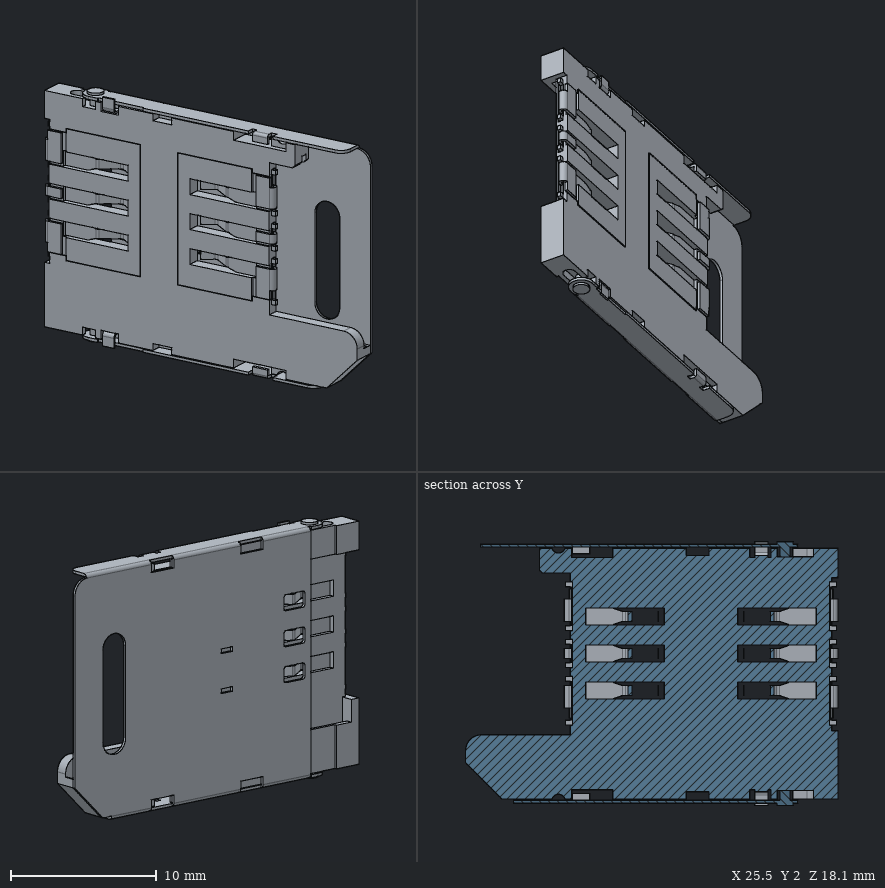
import cadquery as cq
import math


length = 25.52
thickness = 2.0
total_width = 18.1
half_width = 8.6
front = 0.12
sheet = 0.22
plate_front = thickness - sheet
flange_outer = 8.88
flange_inner = flange_outer - sheet
corner_radius = 1.1
corner_chamfer = 2.5

floor_back = 0.99
bay_bottom, bay_top = -3.9, 6.56
card_half = 7.5
rail_front, rail_bottom = 1.51, -5.5
card_start, card_end = 0.7, 25.4
card_chamfer = 1.6
floor_left, floor_right = 0.42, 18.35
mid_x = (floor_left + floor_right) / 2
arm_top = -4.18
stub_bottom = 6.88
stub_end = 20.46
stub_chamfer = 0.22

stop_length = 2.01
stop_back = 1.95

contact_pitch = 2.54
contact_mid_z = 1.38
slot_width = 1.15
slot_start, slot_end = 1.5, 6.86
panel_front = 0.05
panel_start, panel_end = 1.81, 7.85
panel_half = 4.8
recess_half = 4.48
recess_floor = 0.2
metal = 0.2
beam_back = 0.65
bend_radius = beam_back / 2
pad_end = 1.44
pad_width = 2.24
tail_width = 1.56
finger_width = 0.7
taper_start, taper_end = 3.35, 4.0
ramp_start, apex_x, tip_x = 4.12, 5.53, 6.46
apex_front = 1.43
tip_angle = math.radians(34)
knee_radius, apex_radius = 0.33, 0.22
tab_size, tab_start = 0.34, 0.1
tab_front, tab_back = 0.42, 0.68
tab_distances = (0.8, 1.74, 4.73)
groove_depth, groove_back = 0.15, 0.83
strip_depth = 0.08

hinge_x, hinge_y = 3.63, 0.97
hinge_radius = 0.89
cap_radius, pin_radius = 0.585, 0.39
track_radius, track_start = 0.46, 2.12
pin_opening = 1.04
pin_end = 8.02
hinge_neck_end = 4.2
plate_start = 4.37
flange_front = 0.08
relief_front, relief_end = 0.2, 8.05
flange_top_end, flange_bottom_end = 24.5, 22.24
flange_end_radius = 0.75

pocket_z = 7.96
foot_x0, foot_x1 = 4.78, 5.72
foot_pocket_x0, foot_pocket_x1 = 4.6, 6.03
foot_front, foot_back = 0.05, 0.19
foot_bend = 0.35
foot_pocket_back = 0.9
small_pocket_x0, small_pocket_x1, small_pocket_z = 8.85, 10.38, 8.1
latch_pocket_x0, latch_pocket_x1 = 15.44, 19.7
latch_pocket_back = 1.6
latch_hole_x1 = 18.23
ledge_y = 0.55
scallop_x, scallop_z, scallop_radius = 19.15, 8.73, 0.46
notch_width = 2.0
notch_starts = (8.66, 16.66)
notch_z = 8.03
latch_window_back = 0.6
hook_x0, hook_x1, hook_z = 17.0, 18.22, 8.2

pull_slot_x, pull_slot_width, pull_slot_length = 22.0, 2.02, 8.54
window_x0, window_x1, window_radius = 4.9, 6.78, 0.2
vent_x0, vent_x1, vent_width = 11.4, 12.4, 0.33
vent_zs = (1.44, -1.385)


def box(x0, x1, y0, y1, z0, z1):
    return cq.Workplane("XY").box(x1 - x0, y1 - y0, z1 - z0, centered=False).translate((x0, y0, z0))


def edge_box(x0, x1, y0, y1, z0, z1, side):
    """Box between two distances from the mid plane, on the +Z or -Z side."""
    return box(x0, x1, y0, y1, z0, z1) if side > 0 else box(x0, x1, y0, y1, -z1, -z0)


def xz_prism(sketch, y0, y1):
    """Extrude an outline drawn in XZ from y0 to y1."""
    return sketch.extrude(-(y1 - y0)).translate((0, y0, 0))


def on_side(shape, side):
    return shape if side > 0 else shape.mirror("XY")


def both_rows(shape):
    """Copy a feature of the left contact row to the right one."""
    return shape.union(shape.mirror("YZ", (mid_x, 0, 0)))


def z_disc(x, y, radius, z0, z1):
    return cq.Workplane("XY", origin=(0, 0, z0)).center(x, y).circle(radius).extrude(z1 - z0)


row_zs = [contact_mid_z + i * contact_pitch for i in (-1, 0, 1)]


def housing_block():
    outline = (
        cq.Workplane("XZ")
        .moveTo(0, -half_width)
        .lineTo(length - corner_chamfer, -half_width)
        .lineTo(length, -half_width + corner_chamfer)
        .lineTo(length, arm_top - corner_radius)
        .radiusArc((length - corner_radius, arm_top), -corner_radius)
        .lineTo(floor_right, arm_top)
        .lineTo(floor_right, stub_bottom)
        .lineTo(stub_end - stub_chamfer, stub_bottom)
        .lineTo(stub_end, stub_bottom + stub_chamfer)
        .lineTo(stub_end, half_width)
        .lineTo(0, half_width)
        .close()
    )
    block = xz_prism(outline, front, plate_front)
    block = block.union(box(0, stop_length, front, stop_back, -half_width, half_width))
    block = block.cut(box(0, floor_left, 0, thickness, bay_bottom, bay_top))
    block = block.cut(box(0, card_start, floor_back, thickness, bay_bottom, bay_top))
    block = block.cut(box(card_start, length, floor_back, thickness, rail_bottom, bay_top))
    return block.cut(card_bay())


def card_bay():
    """Card space between floor and rails, with one corner cut parallel to the corner of the housing."""
    low, high = -card_half, card_half
    outline = (
        cq.Workplane("XZ")
        .moveTo(card_start, low)
        .lineTo(card_end - card_chamfer, low)
        .lineTo(card_end, low + card_chamfer)
        .lineTo(card_end, arm_top)
        .lineTo(length, arm_top)
        .lineTo(length, high)
        .lineTo(card_start, high)
        .close()
    )
    return xz_prism(outline, floor_back, rail_front)


def contact_panel():
    """Raised panel whose bars reach the floor edge between the contacts."""
    z0, z1 = contact_mid_z - panel_half, contact_mid_z + panel_half
    panel = box(panel_start, panel_end, panel_front, floor_back, z0, z1)
    bars = box(floor_left, panel_start, panel_front, floor_back, row_zs[0], row_zs[-1])
    return panel.union(bars)


def contact_recesses():
    """Shallow seats for the solder pads, and the through slots for the spring fingers."""
    cuts = cq.Workplane("XY")
    for z in row_zs:
        low, high = z - slot_width / 2, z + slot_width / 2
        cuts = cuts.union(box(slot_start, slot_end, 0, floor_back, low, high))
        cuts = cuts.union(box(floor_left, slot_start, 0, recess_floor, low, high))
    top_seat = (row_zs[2] - slot_width / 2, contact_mid_z + recess_half)
    bottom_seat = (contact_mid_z - recess_half, row_zs[0] + slot_width / 2)
    for low, high in (top_seat, bottom_seat):
        cuts = cuts.union(box(floor_left, panel_start, 0, recess_floor, low, high))
    return cuts


def beam_and_tail(width):
    """Pad, half-round bend and hidden beam as one strip folded back on itself."""
    inner_radius = bend_radius - metal
    return (
        cq.Workplane("XY")
        .moveTo(pad_end, 0)
        .lineTo(bend_radius, 0)
        .threePointArc((0, bend_radius), (bend_radius, beam_back))
        .lineTo(slot_start, beam_back)
        .lineTo(slot_start, beam_back - metal)
        .lineTo(bend_radius, beam_back - metal)
        .threePointArc((bend_radius - inner_radius, bend_radius), (bend_radius, metal))
        .lineTo(pad_end, metal)
        .close()
        .extrude(width)
    )


def round_bends(shape, x, radius):
    """Round both edges of a bend of the finger at the given X."""
    reach = metal / 2
    around = cq.selectors.BoxSelector((x - reach, 0, -slot_width), (x + reach, thickness, slot_width))
    return shape.edges("|Z").edges(around).fillet(radius)


def spring_finger():
    """Tapered beam that rises to a contact apex and falls to its tip, centred on Z = 0."""
    beam_front = beam_back - metal
    tip_front = apex_front - (tip_x - apex_x) * math.tan(tip_angle)
    profile = (
        cq.Workplane("XY")
        .moveTo(slot_start, beam_back)
        .lineTo(ramp_start, beam_back)
        .lineTo(apex_x, apex_front + metal)
        .lineTo(tip_x + metal * math.sin(tip_angle), tip_front + metal * math.cos(tip_angle))
        .lineTo(tip_x, tip_front)
        .lineTo(apex_x, apex_front)
        .lineTo(ramp_start, beam_front)
        .lineTo(slot_start, beam_front)
        .close()
        .extrude(slot_width / 2, both=True)
    )
    profile = round_bends(profile, ramp_start, knee_radius)
    profile = round_bends(profile, apex_x, apex_radius)
    wide, narrow = slot_width / 2, finger_width / 2
    outline = (
        cq.Workplane("XZ")
        .polyline([(slot_start, wide), (taper_start, wide), (taper_end, narrow), (slot_end, narrow),
                   (slot_end, -narrow), (taper_end, -narrow), (taper_start, -wide), (slot_start, -wide)])
        .close()
    )
    return profile.intersect(xz_prism(outline, 0, thickness))


def contact(z, direction):
    """One contact; the outer ones have tails and pads widened away from the middle (direction)."""
    narrow = finger_width / 2
    strip = beam_and_tail(finger_width).translate((0, 0, -narrow))
    if direction:
        tail = beam_and_tail(tail_width).translate((0, 0, -narrow))
        pad = box(bend_radius, pad_end, 0, metal, -narrow, pad_width - narrow)
        strip = strip.union(on_side(tail.union(pad), direction))
    return strip.union(spring_finger()).translate((0, 0, z))


def tab_spans():
    """Z ranges from tab to tab of each contact."""
    inner, near, far = tab_distances
    end = tab_size / 2
    pairs = ((-inner, inner), (near, far), (-far, -near))
    return [(contact_mid_z + low - end, contact_mid_z + high + end) for low, high in pairs]


def edge_grooves():
    """Grooves in the floor edge behind the contact bends."""
    grooves = cq.Workplane("XY")
    for z0, z1 in tab_spans():
        grooves = grooves.union(box(0, floor_left + groove_depth, tab_front, groove_back, z0, z1))
    return grooves


def edge_tabs():
    """Strip lying in each groove, with a tab standing out at both its ends."""
    tabs = cq.Workplane("XY")
    groove_floor = floor_left + groove_depth
    for z0, z1 in tab_spans():
        tabs = tabs.union(box(floor_left + strip_depth, groove_floor, tab_front, tab_back, z0, z1))
        tabs = tabs.union(box(tab_start, groove_floor, tab_front, tab_back, z0, z0 + tab_size))
        tabs = tabs.union(box(tab_start, groove_floor, tab_front, tab_back, z1 - tab_size, z1))
    return tabs


def edge_pockets(side):
    """Hinge track, foot pocket, small pocket and latch opening along one long edge."""
    edge = half_width
    cuts = z_disc(track_start, hinge_y, track_radius, pin_end, edge)
    cuts = cuts.union(z_disc(hinge_x, hinge_y, track_radius, pin_end, edge))
    cuts = cuts.union(box(track_start, hinge_x, hinge_y - track_radius, hinge_y + track_radius,
                          pin_end, edge))
    cuts = cuts.union(box(hinge_x - pin_opening / 2, hinge_x + pin_opening / 2, 0, hinge_y, pin_end, edge))
    cuts = cuts.union(box(foot_pocket_x0, foot_pocket_x1, 0, foot_pocket_back, pocket_z, edge))
    cuts = cuts.union(box(small_pocket_x0, small_pocket_x1, 0, foot_pocket_back, small_pocket_z, edge))
    cuts = cuts.union(box(latch_pocket_x0, latch_hole_x1, 0, latch_pocket_back, pocket_z, edge))
    cuts = cuts.union(box(latch_hole_x1, latch_pocket_x1, 0, ledge_y, pocket_z, edge))
    scallop = cq.Workplane("XZ").center(scallop_x, scallop_z).circle(scallop_radius)
    cuts = cuts.union(xz_prism(scallop, 0, latch_pocket_back))
    cuts = cuts.union(box(notch_starts[1], latch_hole_x1, 0, thickness, notch_z, edge))
    return on_side(cuts, side)


def solder_foot(side):
    """Bent foot that comes out of its pocket and reaches past the cover flange."""
    strip = foot_back - foot_front
    leg_z = pocket_z
    foot = (
        cq.Workplane("YZ", origin=(foot_x0, 0, 0))
        .moveTo(foot_pocket_back, leg_z)
        .lineTo(foot_front + foot_bend, leg_z)
        .radiusArc((foot_front, leg_z + foot_bend), foot_bend)
        .lineTo(foot_front, total_width / 2)
        .lineTo(foot_back, total_width / 2)
        .lineTo(foot_back, leg_z + foot_bend)
        .radiusArc((foot_front + foot_bend, leg_z + strip), -(foot_bend - strip))
        .lineTo(foot_pocket_back, leg_z + strip)
        .close()
        .extrude(foot_x1 - foot_x0)
    )
    return on_side(foot, side)


def make_housing():
    body = housing_block()
    body = body.union(both_rows(contact_panel()))
    body = body.cut(both_rows(contact_recesses()))
    body = body.cut(both_rows(edge_grooves()))
    for z, direction in zip(row_zs, (-1, 0, 1)):
        body = body.union(both_rows(contact(z, direction)))
    body = body.union(both_rows(edge_tabs()))
    for side in (1, -1):
        body = body.cut(edge_pockets(side)).union(solder_foot(side))
    return body


def cover_plate():
    outline = (
        cq.Workplane("XZ")
        .moveTo(plate_start, -half_width)
        .lineTo(length - corner_chamfer, -half_width)
        .lineTo(length, -half_width + corner_chamfer)
        .lineTo(length, half_width - corner_radius)
        .radiusArc((length - corner_radius, half_width), -corner_radius)
        .lineTo(plate_start, half_width)
        .close()
    )
    plate = xz_prism(outline, plate_front, thickness)
    pull_slot = (
        cq.Workplane("XZ").center(pull_slot_x, 0)
        .slot2D(pull_slot_length, pull_slot_width, 90)
    )
    plate = plate.cut(xz_prism(pull_slot, plate_front, thickness))
    for z in row_zs:
        window = box(window_x0, window_x1, plate_front, thickness, z - slot_width / 2, z + slot_width / 2)
        plate = plate.cut(window.edges("|Y").fillet(window_radius))
    for z in vent_zs:
        vent = box(vent_x0, vent_x1, plate_front, thickness, z - vent_width / 2, z + vent_width / 2)
        plate = plate.cut(vent)
    return plate


def flange(end):
    """Side wall folded from the plate, with the round hinge ear at its left end."""
    fold = thickness - (flange_outer - half_width)
    wall = (
        cq.Workplane("YZ", origin=(plate_start, 0, 0))
        .moveTo(flange_front, flange_inner)
        .lineTo(flange_front, flange_outer)
        .lineTo(fold, flange_outer)
        .radiusArc((thickness, half_width), flange_outer - half_width)
        .lineTo(plate_front, half_width)
        .lineTo(plate_front, flange_inner)
        .close()
        .extrude(end - plate_start)
    )
    wall = wall.edges("|Z and >X and <Y").fillet(flange_end_radius)
    ear_front, ear_back = hinge_y - hinge_radius, hinge_y + hinge_radius
    wall = wall.union(z_disc(hinge_x, hinge_y, hinge_radius, flange_inner, flange_outer))
    wall = wall.union(box(hinge_x, hinge_neck_end, ear_front, ear_back, flange_inner, flange_outer))
    wall = wall.union(box(hinge_x, plate_start, ear_front, fold, flange_inner, flange_outer))
    return wall.cut(box(plate_start, relief_end, 0, relief_front, flange_inner, flange_outer))


def hinge_pin():
    pin = z_disc(hinge_x, hinge_y, pin_radius, pin_end, flange_outer)
    return pin.union(z_disc(hinge_x, hinge_y, cap_radius, flange_outer, total_width / 2))


def latch_hook():
    """Tongue of the flange folded inwards over the latch opening."""
    hook_front = flange_front
    return (
        cq.Workplane("YZ", origin=(hook_x0, 0, 0))
        .moveTo(latch_window_back, flange_outer)
        .lineTo(hook_front + sheet, flange_outer)
        .radiusArc((hook_front, flange_outer - sheet), -sheet)
        .lineTo(hook_front, hook_z)
        .lineTo(hook_front + sheet, hook_z)
        .lineTo(hook_front + sheet, flange_inner)
        .lineTo(latch_window_back, flange_inner)
        .close()
        .extrude(hook_x1 - hook_x0)
    )


def cover_edge(end):
    edge = flange(end)
    latch_x0 = notch_starts[1]
    edge = edge.cut(box(latch_x0, latch_x0 + notch_width, 0, latch_window_back, half_width, flange_outer))
    return edge.union(latch_hook()).union(hinge_pin())


def make_cover():
    cover = cover_plate()
    for side, end in ((1, flange_top_end), (-1, flange_bottom_end)):
        cover = cover.union(on_side(cover_edge(end), side))
        for x in notch_starts:
            cover = cover.cut(edge_box(x, x + notch_width, plate_front, thickness, notch_z, flange_outer, side))
    return cover


housing = make_housing()
cover = make_cover()
result = cq.Compound.makeCompound([*housing.vals(), *cover.vals()])